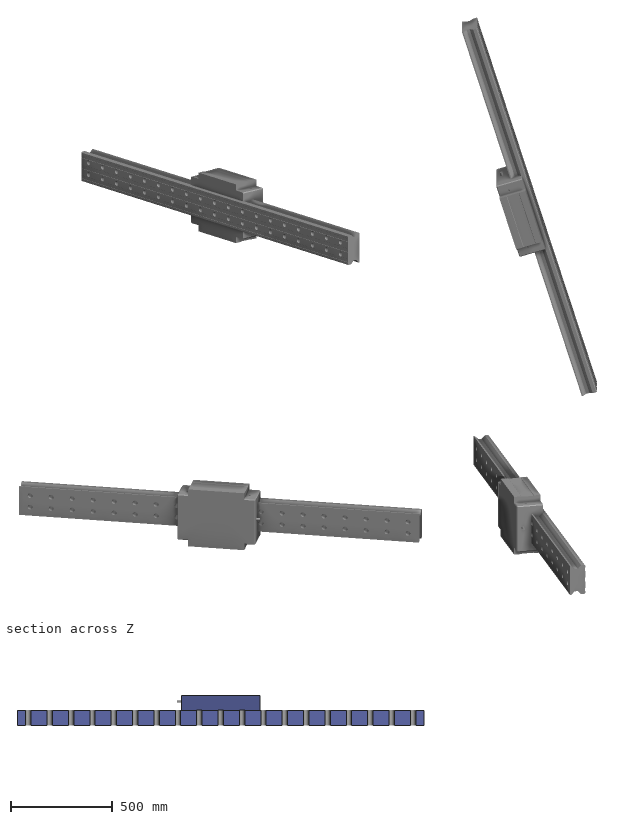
import cadquery as cq


assembly_height = 150.0

rail_length = 2000.0
rail_width = 150.0
rail_half_width = rail_width / 2
rail_bottom = -assembly_height / 2
rail_top = 2.0
rail_height = rail_top - rail_bottom
rail_edge_chamfer = 5.0
flank_depth = 17.0
flank_top = -5.0
flank_bottom = -55.0

relief_depth = 1.0
centre_relief_half_width = 10.0
side_relief_inner = 45.0
side_relief_width = 17.0
side_relief_outer = side_relief_inner + side_relief_width

hole_diameter = 25.0
holes_per_row = 19
hole_row_length = 1890.0
hole_pitch = hole_row_length / (holes_per_row - 1)
hole_row_offset = 30.0

carriage_top = assembly_height / 2
carriage_bottom = -58.0
block_length = 280.0
block_width = 300.0
cap_span = 390.0
cap_width = 238.0
cap_chamfer = 5.0

side_recess_depth = 2.0
side_recess_top = 38.0
side_recess_bottom = -25.0

port_diameter = 10.0
port_depth = 10.0
port_x = 155.0
port_y = 22.0

nipple_diameter = 15.0
nipple_length = 18.0
nipple_y = 45.0
nipple_z = 5.0


def carriage_box(length, width):
    """Box from the carriage bottom to its top, centred on X and Z."""
    height = carriage_top - carriage_bottom
    middle_y = (carriage_top + carriage_bottom) / 2
    return cq.Workplane("XY").box(length, height, width).translate((0, middle_y, 0))


def prism_along_x(points_yz, length):
    """Straight bar of the given (Y, Z) outline, centred on X = 0."""
    return cq.Workplane("YZ").polyline(points_yz).close().extrude(length / 2, both=True)


def rail_bar(length):
    """Rail section without mounting holes."""
    neck = rail_half_width - flank_depth
    relief_floor = rail_bottom + relief_depth
    upper_half = [
        (rail_top, rail_half_width),
        (flank_top, rail_half_width),
        (flank_top - flank_depth, neck),
        (flank_bottom + flank_depth, neck),
        (flank_bottom, rail_half_width),
        (rail_bottom + rail_edge_chamfer, rail_half_width),
        (rail_bottom, rail_half_width - rail_edge_chamfer),
        (rail_bottom, side_relief_outer),
        (relief_floor, side_relief_outer - relief_depth),
        (relief_floor, side_relief_inner + relief_depth),
        (rail_bottom, side_relief_inner),
        (rail_bottom, centre_relief_half_width),
        (relief_floor, centre_relief_half_width - relief_depth),
    ]
    lower_half = [(y, -z) for y, z in reversed(upper_half)]
    return prism_along_x(upper_half + lower_half, length)


def make_rail():
    holes = (
        cq.Workplane("XZ", origin=(0, rail_top, 0))
        .rarray(hole_pitch, 2 * hole_row_offset, holes_per_row, 2)
        .circle(hole_diameter / 2)
        .extrude(rail_height)
    )
    return rail_bar(rail_length).cut(holes)


def side_recess(side):
    """Cutter for the recess in the +Z (side = 1) or -Z (side = -1) face of the block."""
    face_z = block_width / 2
    floor_z = face_z - side_recess_depth
    outline = [
        (side_recess_top, side * face_z),
        (side_recess_top - side_recess_depth, side * floor_z),
        (side_recess_bottom + side_recess_depth, side * floor_z),
        (side_recess_bottom, side * face_z),
    ]
    return prism_along_x(outline, block_length)


def end_cap_bar():
    """Bar that forms both end caps, chamfered on every outer edge except at the bottom."""
    bar = carriage_box(cap_span, cap_width)
    return bar.edges("|Y or >Y").chamfer(cap_chamfer)


def cap_ports():
    """Cutters for the ports in the +Z and -Z sides of both end caps."""
    ports = cq.Workplane("XY")
    for side in (1, -1):
        start_z = side * cap_width / 2
        ports = ports.add(
            cq.Workplane("XY", origin=(0, port_y, start_z))
            .pushPoints([(-port_x, 0), (port_x, 0)])
            .circle(port_diameter / 2)
            .extrude(-side * port_depth)
        )
    return ports.combine()


def make_carriage():
    carriage = carriage_box(block_length, block_width)
    for side in (1, -1):
        carriage = carriage.cut(side_recess(side))
    carriage = carriage.union(end_cap_bar())
    carriage = carriage.cut(cap_ports())
    return carriage.cut(rail_bar(rail_length))


def make_nipple():
    seat = cq.Plane(origin=(-cap_span / 2, nipple_y, nipple_z), xDir=(0, 0, 1), normal=(-1, 0, 0))
    return cq.Workplane(seat).circle(nipple_diameter / 2).extrude(nipple_length)


rail = make_rail()
carriage = make_carriage()
nipple = make_nipple()

result = cq.Compound.makeCompound([rail.val(), carriage.val(), nipple.val()])